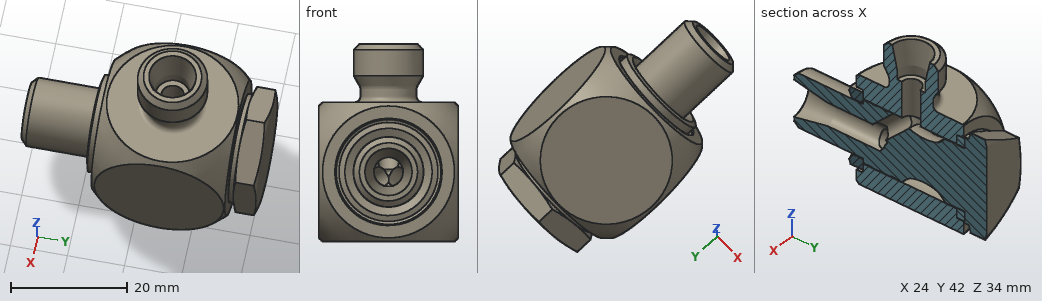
import cadquery as cq
import math


BLOCK_SIDE = 24.0
FRONT_Y = -BLOCK_SIDE / 2
REAR_Y = 11.5
BLOCK_TOP = BLOCK_SIDE / 2
SPHERE_DIA = 33.0
HOUSING_BORE_DIA = 14.0

RECESS_DIA = 18.0
RECESS_DEPTH = 1.5
RECESS_FILLET = 0.4
RECESS_CHAMFER = 0.2

PORT_DIA = 12.0
PORT_TOP = BLOCK_TOP + 10.0
PORT_CHAMFER = 1.0
FLARE_TOP = BLOCK_TOP + 4.55
FLARE_ANGLE = 30
NECK_DIA = 9.7
NECK_FILLET = 1.0

SOCKET_MOUTH_DIA = 8.1
SOCKET_CONE_ANGLE = 12
TUBE_DIA = 6.0
SOCKET_DEPTH = 7.0
PORT_BORE_DIA = 4.0

STEM_DIA = 12.0
STEM_END_Y = -25.5
STEM_CHAMFER = 1.0
JOURNAL_DIA = 13.95
JOURNAL_FRONT_Y = FRONT_Y + RECESS_DEPTH
HEX_ACROSS_FLATS = 19.0
HEX_ACROSS_CORNERS = HEX_ACROSS_FLATS / math.cos(math.radians(30))
HEX_THICKNESS = 4.0
HEX_CHAMFER_ANGLE = 15
HEAD_REAR_Y = 16.5
HEX_FRONT_Y = HEAD_REAR_Y - HEX_THICKNESS
FLANGE_GAP = 0.13
FLANGE_FRONT_Y = REAR_Y + FLANGE_GAP

WAIST_FRONT_Y = -0.38
WAIST_EDGE_DIA = 10.9
WAIST_ARC_RADIUS = 8.4
WAIST_ARC_HALF_ANGLE = 22

BOLT_BORE_DIA = 5.0
BOLT_BORE_END_Y = -6.7
DRILL_TIP_ANGLE = 59
CROSS_HOLE_DIA = 3.5
CROSS_HOLE_COUNT = 3
CROSS_HOLE_START_Y = -8.4
CROSS_HOLE_LENGTH = 16.8

FRONT_RING_DIA = 17.0
FRONT_RING_BORE_DIA = 12.1
FRONT_RING_EDGE_DIA = 15.0
FRONT_RING_END_Y = -13.52
FRONT_RING_CHAMFER_LENGTH = 0.3
FRONT_RING_HOLLOW_DEPTH = 0.65


def cone_length(large_dia, small_dia, half_angle):
    """Axial length of a cone between two diameters."""
    return (large_dia - small_dia) / 2 / math.tan(math.radians(half_angle))


def turned_about_y(points):
    """Solid of revolution about the Y axis from (radius, y) points."""
    return cq.Workplane("XY").polyline(points).close().revolve(360, (0, 0), (0, 1))


def turned_about_z(points):
    """Solid of revolution about the Z axis from (radius, z) points."""
    return cq.Workplane("XZ").polyline(points).close().revolve(360, (0, 0), (0, 1))


def disc_along_y(diameter, start_y, end_y):
    """Cylinder on the Y axis."""
    return cq.Workplane("XZ", origin=(0, start_y, 0)).circle(diameter / 2).extrude(start_y - end_y)


def neck_ring(z):
    """Selector for the edge that surrounds the port neck at height z."""
    reach = PORT_DIA / 2
    tolerance = 0.05
    return cq.selectors.BoxSelector(
        (-reach, -reach, z - tolerance), (reach, reach, z + tolerance), boundingbox=True
    )


def make_block():
    block = cq.Workplane("XY").box(BLOCK_SIDE, REAR_Y - FRONT_Y, BLOCK_SIDE)
    block = block.translate((0, (REAR_Y + FRONT_Y) / 2, 0))
    return block.intersect(cq.Workplane("XY").sphere(SPHERE_DIA / 2))


def add_port(block):
    port_radius = PORT_DIA / 2
    neck_radius = NECK_DIA / 2
    flare_bottom = FLARE_TOP - cone_length(PORT_DIA, NECK_DIA, FLARE_ANGLE)
    port = turned_about_z([
        (0, 0),
        (neck_radius, 0),
        (neck_radius, flare_bottom),
        (port_radius, FLARE_TOP),
        (port_radius, PORT_TOP - PORT_CHAMFER),
        (port_radius - PORT_CHAMFER, PORT_TOP),
        (0, PORT_TOP),
    ])
    body = block.union(port)
    for height in (BLOCK_TOP, flare_bottom):
        body = body.edges(neck_ring(height)).fillet(NECK_FILLET)
    return body


def make_tube_socket():
    """Conical tube seat with a stop shoulder and the bore down to the bolt."""
    tube_radius = TUBE_DIA / 2
    bore_radius = PORT_BORE_DIA / 2
    cone_bottom = PORT_TOP - cone_length(SOCKET_MOUTH_DIA, TUBE_DIA, SOCKET_CONE_ANGLE)
    shoulder = PORT_TOP - SOCKET_DEPTH
    return turned_about_z([
        (0, 0),
        (bore_radius, 0),
        (bore_radius, shoulder),
        (tube_radius, shoulder),
        (tube_radius, cone_bottom),
        (SOCKET_MOUTH_DIA / 2, PORT_TOP),
        (0, PORT_TOP),
    ])


def make_front_recess():
    """Counterbore with a rounded floor corner and a chamfered mouth."""
    recess = disc_along_y(RECESS_DIA, FRONT_Y, FRONT_Y + RECESS_DEPTH)
    recess = recess.faces(">Y").edges().fillet(RECESS_FILLET)
    recess_radius = RECESS_DIA / 2
    mouth = turned_about_y([
        (0, FRONT_Y),
        (recess_radius + RECESS_CHAMFER, FRONT_Y),
        (recess_radius, FRONT_Y + RECESS_CHAMFER),
        (0, FRONT_Y + RECESS_CHAMFER),
    ])
    return recess.union(mouth)


def make_housing():
    body = add_port(make_block())
    body = body.cut(make_tube_socket())
    body = body.cut(disc_along_y(HOUSING_BORE_DIA, FRONT_Y, REAR_Y))
    body = body.cut(make_front_recess())
    return body.cut(disc_along_y(RECESS_DIA, REAR_Y - RECESS_DEPTH, REAR_Y))


def make_bolt_shaft():
    """Stem, journal with waist, and the round flange under the head."""
    stem_radius = STEM_DIA / 2
    journal_radius = JOURNAL_DIA / 2
    flange_radius = HEX_ACROSS_FLATS / 2
    waist_radius = WAIST_EDGE_DIA / 2
    half_angle = math.radians(WAIST_ARC_HALF_ANGLE)
    arc_half_width = WAIST_ARC_RADIUS * math.sin(half_angle)
    arc_depth = WAIST_ARC_RADIUS * (1 - math.cos(half_angle))
    waist_rear_y = WAIST_FRONT_Y + 2 * arc_half_width
    flank = journal_radius - waist_radius
    return (
        cq.Workplane("XY")
        .moveTo(0, STEM_END_Y)
        .lineTo(stem_radius - STEM_CHAMFER, STEM_END_Y)
        .lineTo(stem_radius, STEM_END_Y + STEM_CHAMFER)
        .lineTo(stem_radius, JOURNAL_FRONT_Y)
        .lineTo(journal_radius, JOURNAL_FRONT_Y)
        .lineTo(journal_radius, WAIST_FRONT_Y - flank)
        .lineTo(waist_radius, WAIST_FRONT_Y)
        .threePointArc(
            (waist_radius - arc_depth, WAIST_FRONT_Y + arc_half_width), (waist_radius, waist_rear_y)
        )
        .lineTo(journal_radius, waist_rear_y + flank)
        .lineTo(journal_radius, FLANGE_FRONT_Y)
        .lineTo(flange_radius, FLANGE_FRONT_Y)
        .lineTo(flange_radius, HEX_FRONT_Y)
        .lineTo(0, HEX_FRONT_Y)
        .close()
        .revolve(360, (0, 0), (0, 1))
    )


def make_hex_head():
    """Hexagon with corners up and down, chamfered on both faces."""
    head = cq.Workplane("XZ", origin=(0, HEAD_REAR_Y, 0)).transformed(rotate=(0, 0, 30))
    head = head.polygon(6, HEX_ACROSS_CORNERS).extrude(HEX_THICKNESS)
    face_radius = HEX_ACROSS_FLATS / 2
    corner_radius = HEX_ACROSS_CORNERS / 2
    chamfer = (corner_radius - face_radius) * math.tan(math.radians(HEX_CHAMFER_ANGLE))
    envelope = turned_about_y([
        (0, HEX_FRONT_Y),
        (face_radius, HEX_FRONT_Y),
        (corner_radius, HEX_FRONT_Y + chamfer),
        (corner_radius, HEAD_REAR_Y - chamfer),
        (face_radius, HEAD_REAR_Y),
        (0, HEAD_REAR_Y),
    ])
    return head.intersect(envelope)


def make_bolt_bore():
    """Conical tube seat that runs into a blind bore with a drill tip."""
    bore_radius = BOLT_BORE_DIA / 2
    cone_end_y = STEM_END_Y + cone_length(SOCKET_MOUTH_DIA, BOLT_BORE_DIA, SOCKET_CONE_ANGLE)
    tip_y = BOLT_BORE_END_Y + cone_length(BOLT_BORE_DIA, 0, DRILL_TIP_ANGLE)
    return turned_about_y([
        (0, STEM_END_Y),
        (SOCKET_MOUTH_DIA / 2, STEM_END_Y),
        (bore_radius, cone_end_y),
        (bore_radius, BOLT_BORE_END_Y),
        (0, tip_y),
    ])


def make_cross_hole(angle):
    """Oblique hole from the bolt axis outwards, turned about Y by the angle."""
    start = cq.Vector(0, CROSS_HOLE_START_Y, 0)
    direction = cq.Vector(0, 1, 1)
    hole = cq.Solid.makeCylinder(CROSS_HOLE_DIA / 2, CROSS_HOLE_LENGTH, start, direction)
    return cq.Workplane(hole).rotate((0, 0, 0), (0, 1, 0), angle)


def make_bolt():
    body = make_bolt_shaft().cut(make_bolt_bore())
    for i in range(CROSS_HOLE_COUNT):
        body = body.cut(make_cross_hole(i * 360 / CROSS_HOLE_COUNT))
    return body.union(make_hex_head())


def make_front_ring():
    """Ring around the stem, hollowed conically inside its sealing edge."""
    outer_radius = FRONT_RING_DIA / 2
    bore_radius = FRONT_RING_BORE_DIA / 2
    return turned_about_y([
        (bore_radius, JOURNAL_FRONT_Y),
        (outer_radius, JOURNAL_FRONT_Y),
        (outer_radius, FRONT_RING_END_Y + FRONT_RING_CHAMFER_LENGTH),
        (FRONT_RING_EDGE_DIA / 2, FRONT_RING_END_Y),
        (bore_radius, FRONT_RING_END_Y + FRONT_RING_HOLLOW_DEPTH),
    ])


def make_rear_ring():
    """Plain ring between the rear recess and the bolt flange."""
    ring = disc_along_y(RECESS_DIA, REAR_Y - RECESS_DEPTH, FLANGE_FRONT_Y)
    return ring.cut(disc_along_y(HOUSING_BORE_DIA, REAR_Y - RECESS_DEPTH, FLANGE_FRONT_Y))


housing = make_housing()
bolt = make_bolt()
front_ring = make_front_ring()
rear_ring = make_rear_ring()
result = cq.Compound.makeCompound([housing.val(), bolt.val(), front_ring.val(), rear_ring.val()])